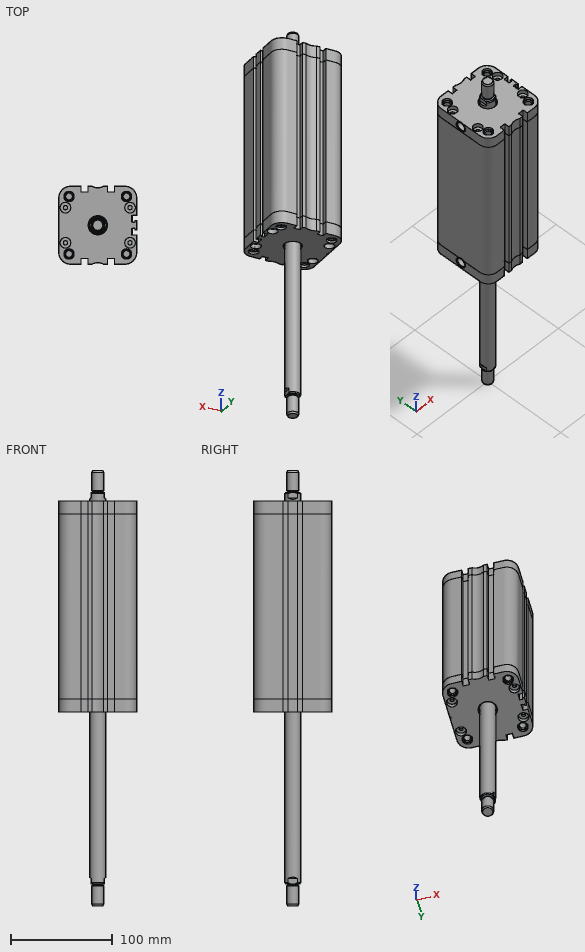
import cadquery as cq

side = 77.0
half = side / 2
corner_radius = 12.0
housing_length = 208.0
cap_length = 13.0
tube_length = housing_length - 2 * cap_length

slot_center = 13.0
slot_width = 6.5
slot_depth = 5.6
groove_half_width = 5.8
groove_depth = 1.5
rail_slot_outer = 9.6
rail_stem_half = 3.0
rail_head_half = 4.6
rail_head_thickness = 2.0
tube_rail_slot_depth = 4.2
cap_rail_slot_depth = 5.2

mount_offset = 28.3
mount_recess_diameter = 10.3
mount_recess_depth = 2.5
mount_chamfer_diameter = 8.57
mount_bore_diameter = 6.65
screw_x = 31.8
screw_y = 17.3
screw_recess_diameter = 10.5
screw_recess_depth = 5.0
socket_diameter = 4.2
socket_depth = 3.0
port_mouth_diameter = 12.0
port_mouth_depth = 1.0
port_diameter = 9.8
port_depth = 12.0
port_from_face = 7.0
rod_mouth_diameter = 19.0
rod_clearance_diameter = 18.0
rod_clearance_depth = 3.0

rod_diameter = 16.0
rod_radius = rod_diameter / 2
rod_end_chamfer = 1.0
thread_diameter = 12.0
thread_radius = thread_diameter / 2
thread_chamfer = 1.0
thread_tip_chamfer_length = 2.0
neck_diameter = 9.8
neck_radius = neck_diameter / 2
stud_length = 22.0
neck_length = 2.0
upper_reach = 30.0
lower_reach = 191.0
flat_half_width = 6.5
flat_length = 5.0

housing_bottom = 0.0
housing_top = housing_length
rod_top = housing_top + upper_reach
rod_bottom = housing_bottom - lower_reach
corner_signs = [(sx, sy) for sx in (-1, 1) for sy in (-1, 1)]


def groove_cutters(length, rail_slot_depth):
    """Straight slots, shallow round grooves and the undercut rail slots of the housing outline."""
    groove_radius = (groove_half_width**2 + groove_depth**2) / (2 * groove_depth)
    slots = (
        cq.Workplane("XY")
        .pushPoints([(sx * slot_center, sy * half) for sx, sy in corner_signs])
        .rect(slot_width, 2 * slot_depth)
        .extrude(length)
    )
    grooves = (
        cq.Workplane("XY")
        .pushPoints([(0, sy * (half - groove_depth + groove_radius)) for sy in (-1, 1)])
        .circle(groove_radius)
        .extrude(length)
    )
    head_inner = half - rail_head_thickness
    floor = half - rail_slot_depth
    rail_slot = (
        cq.Workplane("XY")
        .moveTo(half, rail_head_half)
        .lineTo(head_inner, rail_head_half)
        .lineTo(head_inner, rail_stem_half)
        .lineTo(floor, rail_stem_half)
        .lineTo(floor, rail_slot_outer)
        .lineTo(half, rail_slot_outer)
        .close()
        .extrude(length)
    )
    return [slots, grooves, rail_slot, rail_slot.mirror("XZ")]


def housing_block(length, rail_slot_depth):
    """Grooved square length of housing with the rod bore through it."""
    block = cq.Workplane("XY").rect(side, side).extrude(length).edges("|Z").fillet(corner_radius)
    for cutter in groove_cutters(length, rail_slot_depth):
        block = block.cut(cutter)
    rod_bore = cq.Workplane("XY").circle(rod_radius).extrude(length)
    return block.cut(rod_bore)


def drill(diameter, depth, points):
    """Cylinders that go down from the outer face of an upward-facing cap."""
    return (
        cq.Workplane("XY", origin=(0, 0, cap_length))
        .pushPoints(points)
        .circle(diameter / 2)
        .extrude(-depth)
    )


def countersink(wide_diameter, narrow_diameter, depth, points):
    """45 degree cones whose wide end lies at a depth below the outer face of an upward-facing cap."""
    wide = wide_diameter / 2
    narrow = narrow_diameter / 2
    height = wide - narrow
    cone = cq.Solid.makeCone(narrow, wide, height)
    bottom = cap_length - depth - height
    placed = [cone.translate(cq.Vector(x, y, bottom)) for x, y in points]
    return cq.Workplane("XY").newObject([cq.Compound.makeCompound(placed)])


def make_cap():
    """End cap resting on z = 0 with its outer face up."""
    mount_points = [(sx * mount_offset, sy * mount_offset) for sx, sy in corner_signs]
    screw_points = [(sx * screw_x, sy * screw_y) for sx, sy in corner_signs]
    cap = housing_block(cap_length, cap_rail_slot_depth)
    cap = cap.cut(drill(mount_recess_diameter, mount_recess_depth, mount_points))
    cap = cap.cut(drill(mount_bore_diameter, cap_length, mount_points))
    mount_chamfers = countersink(
        mount_chamfer_diameter, mount_bore_diameter, mount_recess_depth, mount_points
    )
    cap = cap.cut(mount_chamfers)
    cap = cap.cut(drill(rod_clearance_diameter, rod_clearance_depth, [(0, 0)]))
    cap = cap.cut(countersink(rod_mouth_diameter, rod_clearance_diameter, 0, [(0, 0)]))
    cap = cap.cut(drill(screw_recess_diameter, screw_recess_depth, screw_points))
    cap = cap.cut(drill(socket_diameter, screw_recess_depth + socket_depth, screw_points))
    port_plane = cq.Workplane("YZ", origin=(-half, 0, cap_length - port_from_face))
    cap = cap.cut(port_plane.circle(port_mouth_diameter / 2).extrude(port_mouth_depth))
    return cap.cut(port_plane.circle(port_diameter / 2).extrude(port_depth))


def stud_profile(tip, direction):
    """Half outline of a rod end from the axis at the tip to the full rod; direction points to the rod."""
    thread_end = stud_length - neck_length
    steps = [
        (0, 0),
        (thread_radius - thread_chamfer, 0),
        (thread_radius, thread_tip_chamfer_length),
        (thread_radius, thread_end),
        (neck_radius, thread_end + thread_chamfer),
        (neck_radius, stud_length),
        (rod_radius - rod_end_chamfer, stud_length),
        (rod_radius, stud_length + rod_end_chamfer),
    ]
    return [(radius, tip + direction * along) for radius, along in steps]


def wrench_flats(shoulder, direction):
    """Two flats across X at a rod shoulder, each running out at 45 degrees."""
    runout = rod_radius - flat_half_width
    flat_end = shoulder + direction * flat_length
    flat = (
        cq.Workplane("XZ")
        .moveTo(flat_half_width, shoulder)
        .lineTo(flat_half_width, flat_end)
        .lineTo(rod_radius, flat_end + direction * runout)
        .lineTo(rod_radius, shoulder)
        .close()
        .extrude(rod_radius, both=True)
    )
    return flat.union(flat.mirror("YZ"))


def make_rod():
    """Through rod with a threaded stud and wrench flats at each end."""
    outline = stud_profile(rod_top, -1) + stud_profile(rod_bottom, 1)[::-1]
    rod = cq.Workplane("XZ").polyline(outline).close().revolve(360, (0, 0, 0), (0, 1, 0))
    rod = rod.cut(wrench_flats(rod_top - stud_length, -1))
    return rod.cut(wrench_flats(rod_bottom + stud_length, 1))


tube = housing_block(tube_length, tube_rail_slot_depth).translate((0, 0, housing_bottom + cap_length))
upper_cap = make_cap().translate((0, 0, housing_top - cap_length))
lower_cap = make_cap().mirror("XY").translate((0, 0, housing_bottom + cap_length))
rod = make_rod()

result = cq.Compound.makeCompound([tube.val(), upper_cap.val(), lower_cap.val(), rod.val()])